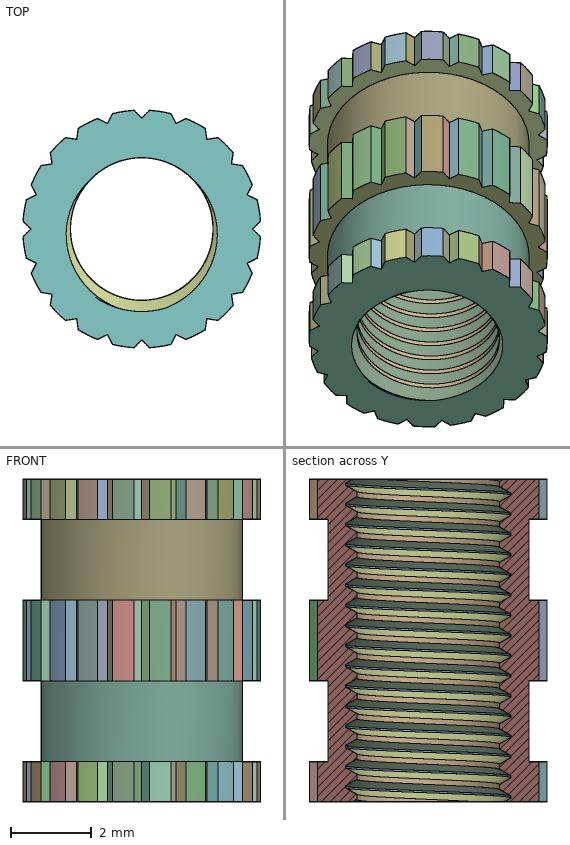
import cadquery as cq
import math

END_BAND_HEIGHT = 1.0
MIDDLE_BAND_HEIGHT = 2 * END_BAND_HEIGHT
WAIST_HEIGHT = 2.0
LENGTH = 2 * END_BAND_HEIGHT + MIDDLE_BAND_HEIGHT + 2 * WAIST_HEIGHT
WAIST_DIAMETER = 5.0

KNURL_RADIUS = 2.95
NOTCH_COUNT = 20
NOTCH_ROOT_RADIUS = 2.75
NOTCH_OVERCUT = 0.2

MINOR_RADIUS = 3.53 / 2
MAJOR_RADIUS = 4.09 / 2
PITCH = 0.5
ROOT_FLAT = 0.045
FLANK_ANGLE = 30.0
RUNOUT_TURNS = 1
TOP_GROOVE_DIRECTION = -90.0

JOIN_TOLERANCE = 1e-4


def knurled_band(bottom, height):
    """Disc with V-notches around its rim, the first one on the +X axis."""
    band = cq.Workplane("XY").workplane(offset=bottom).circle(KNURL_RADIUS).extrude(height)
    reach = KNURL_RADIUS - NOTCH_ROOT_RADIUS + NOTCH_OVERCUT
    outer = NOTCH_ROOT_RADIUS + reach
    notch = (
        cq.Workplane("XY")
        .workplane(offset=bottom)
        .polyline([(NOTCH_ROOT_RADIUS, 0), (outer, reach), (outer, -reach)])
        .close()
        .extrude(height)
    )
    for index in range(NOTCH_COUNT):
        angle = index * 360 / NOTCH_COUNT
        band = band.cut(notch.rotate((0, 0, 0), (0, 0, 1), angle))
    return band


def outer_body():
    """Plain cylinder carrying a knurled band at each end and one in the middle."""
    body = cq.Workplane("XY").circle(WAIST_DIAMETER / 2).extrude(LENGTH)
    bands = [
        (0, END_BAND_HEIGHT),
        (END_BAND_HEIGHT + WAIST_HEIGHT, MIDDLE_BAND_HEIGHT),
        (LENGTH - END_BAND_HEIGHT, END_BAND_HEIGHT),
    ]
    for bottom, height in bands:
        body = body.union(knurled_band(bottom, height))
    return body


def helix_edge(radius, height):
    """Helix long enough to run past both ends, shifted up its axis by the given height."""
    runout = RUNOUT_TURNS * PITCH
    helix = cq.Wire.makeHelix(PITCH, LENGTH + 2 * runout, radius)
    return helix.translate(cq.Vector(0, 0, height - runout))


def thread_walls():
    """Helical faces of the bore, trimmed flush with the ends of the part.

    Neighbouring faces meet along a common helix: lower flank, root, upper flank, crest.
    """
    root_half = ROOT_FLAT / 2
    mouth_half = root_half + (MAJOR_RADIUS - MINOR_RADIUS) * math.tan(math.radians(FLANK_ANGLE))
    helices = [
        helix_edge(MINOR_RADIUS, -mouth_half),
        helix_edge(MAJOR_RADIUS, -root_half),
        helix_edge(MAJOR_RADIUS, root_half),
        helix_edge(MINOR_RADIUS, mouth_half),
        helix_edge(MINOR_RADIUS, PITCH - mouth_half),
    ]
    envelope = cq.Workplane("XY").rect(2 * KNURL_RADIUS, 2 * KNURL_RADIUS).extrude(LENGTH).val()
    walls = []
    for lower, upper in zip(helices, helices[1:]):
        strip = cq.Face.makeRuledSurface(lower, upper)
        strip = strip.rotate(cq.Vector(0, 0, 0), cq.Vector(0, 0, 1), TOP_GROOVE_DIRECTION)
        walls.extend(strip.intersect(envelope).Faces())
    return walls


def bore_mouth(walls, height):
    """Closed outline where the bore walls reach the end plane at the given height."""
    edges = []
    for wall in walls:
        for edge in wall.Edges():
            box = edge.BoundingBox()
            if max(abs(box.zmin - height), abs(box.zmax - height)) < JOIN_TOLERANCE:
                edges.append(edge)
    return cq.Wire.combine(edges, JOIN_TOLERANCE)[0]


def threaded_insert():
    """Body with the threaded bore passing right through it.

    Body and bore share only their end planes, so the outer faces and the bore walls
    are joined by end faces pierced by the bore mouths, far quicker than a helical cut.
    """
    body = outer_body()
    walls = thread_walls()
    faces = body.faces("not(<Z or >Z)").vals() + walls
    for end, height in (("<Z", 0), (">Z", LENGTH)):
        rim = body.faces(end).val().outerWire()
        faces.append(cq.Face.makeFromWires(rim, [bore_mouth(walls, height)]))
    return cq.Workplane(cq.Solid.makeSolid(cq.Shell.makeShell(faces)).fix())


result = threaded_insert()